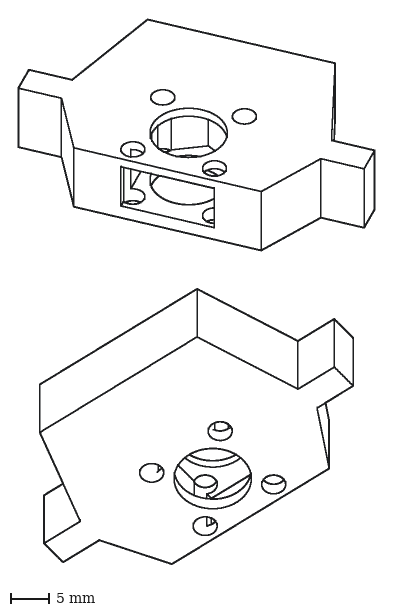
import cadquery as cq
import math

length = 48.0
depth = 28.0
thickness = 10.0

ear_length = 6.0
ear_front = 9.0
ear_width = 4.05
end_edge_width = 26.0

bore_center_y = 8.0
bore_diameter = 10.1
screw_hole_diameter = 3.1
screw_spacing = 11.35

nut_across_flats = 12.9
slot_floor = 2.0
slot_height = 6.6


def make_body():
    """Plate tapering from its ears to narrower front and back edges."""
    ear_tip = length / 2
    ear_root = ear_tip - ear_length
    ear_back = ear_front + ear_width
    end_edge = end_edge_width / 2
    right_side = [
        (end_edge, 0),
        (ear_root, ear_front),
        (ear_tip, ear_front),
        (ear_tip, ear_back),
        (ear_root, ear_back),
        (end_edge, depth),
    ]
    left_side = [(-x, y) for x, y in reversed(right_side)]
    return cq.Workplane("XY").polyline(right_side + left_side).close().extrude(thickness)


def make_nut_slot():
    """Internal slot whose closed end is a half hexagon pointing to the back."""
    half_width = nut_across_flats / 2
    corner_radius = half_width / math.cos(math.pi / 6)
    shoulder_y = bore_center_y + corner_radius / 2
    outline = [
        (-half_width, 0),
        (half_width, 0),
        (half_width, shoulder_y),
        (0, bore_center_y + corner_radius),
        (-half_width, shoulder_y),
    ]
    return cq.Workplane("XY").workplane(offset=slot_floor).polyline(outline).close().extrude(slot_height)


def make_bores():
    """Central through bore with a square pattern of through screw holes."""
    plane = cq.Workplane("XY").center(0, bore_center_y)
    center_bore = plane.circle(bore_diameter / 2).extrude(thickness)
    screw_holes = (
        plane.rect(screw_spacing, screw_spacing, forConstruction=True)
        .vertices()
        .circle(screw_hole_diameter / 2)
        .extrude(thickness)
    )
    return center_bore.union(screw_holes)


result = make_body().cut(make_nut_slot()).cut(make_bores())